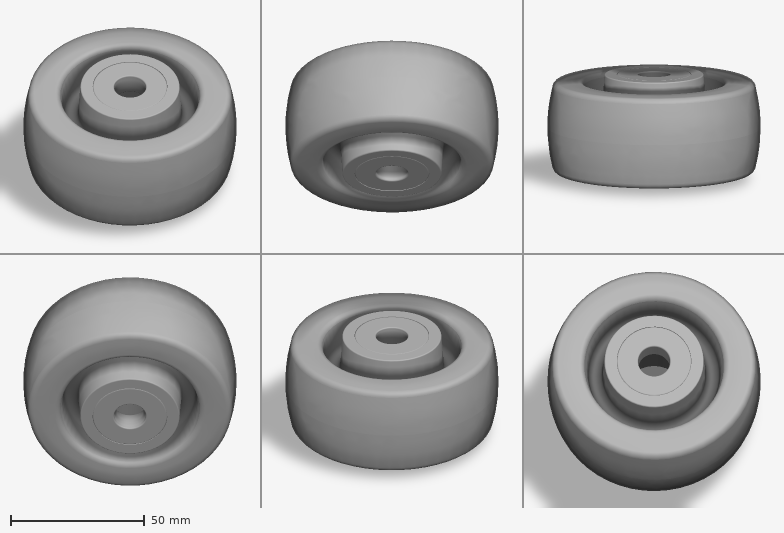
import cadquery as cq
import math

WHEEL_RADIUS = 40.0
HUB_HALF_LENGTH = 20.0

CROWN_RADIUS = 64.0
SHOULDER_RADIUS = 2.5
RIM_EDGE_HEIGHT = 17.2
RIM_BULGE = 0.2

LIP_OUTER_RADIUS = 28.5
LIP_ROUND_RADIUS = 2.5
LIP_SWEEP = math.radians(69)
UPPER_RIM_TAPER = math.radians(11)
LOWER_RIM_TAPER = math.radians(9.5)
RIM_TAPER_CHANGE_HEIGHT = 10.0

HUB_END_RADIUS = 18.6
HUB_WALL_TAPER = math.radians(3.9)
HUB_EDGE_ROUND = 0.5
FLOOR_ROUND_RADIUS = 2.6

BEARING_OUTER_RADIUS = 14.0
BEARING_BORE_RADIUS = 6.0
BEARING_WIDTH = 8.0
BEARING_EDGE_ROUND = 0.5
BEARING_SHOULDER_RADIUS = 11.2

QUARTER_TURN = math.pi / 2


def on_circle(center, radius, angle):
    """Point on a circle in the (distance from axis, height) half plane."""
    return (center[0] + radius * math.cos(angle), center[1] + radius * math.sin(angle))


def arc_to(outline, center, radius, start_angle, end_angle):
    """Extend the outline by an arc that begins where the outline has ended."""
    middle = on_circle(center, radius, (start_angle + end_angle) / 2)
    return outline.threePointArc(middle, on_circle(center, radius, end_angle))


def floor_round_center(rim_point, hub_point):
    """Center of the floor round, tangent to the lower rim wall and hub wall through the given points."""
    rim_rate = math.tan(LOWER_RIM_TAPER)
    hub_rate = math.tan(HUB_WALL_TAPER)
    rim_base = rim_point[0] - rim_point[1] * rim_rate - FLOOR_ROUND_RADIUS / math.cos(LOWER_RIM_TAPER)
    hub_base = hub_point[0] + hub_point[1] * hub_rate + FLOOR_ROUND_RADIUS / math.cos(HUB_WALL_TAPER)
    height = (hub_base - rim_base) / (rim_rate + hub_rate)
    return (rim_base + rim_rate * height, height)


def make_wheel():
    crown_center = (WHEEL_RADIUS - CROWN_RADIUS, 0)
    shoulder_height = RIM_EDGE_HEIGHT - SHOULDER_RADIUS
    crown_end = math.asin(shoulder_height / (CROWN_RADIUS - SHOULDER_RADIUS))
    shoulder_center = on_circle(crown_center, CROWN_RADIUS - SHOULDER_RADIUS, crown_end)

    lip_center = (LIP_OUTER_RADIUS, RIM_EDGE_HEIGHT - LIP_ROUND_RADIUS)
    lip_end = QUARTER_TURN + LIP_SWEEP
    rim_wall_top = on_circle(lip_center, LIP_ROUND_RADIUS, lip_end)
    upper_wall_depth = rim_wall_top[1] - RIM_TAPER_CHANGE_HEIGHT
    taper_change = (
        rim_wall_top[0] - upper_wall_depth * math.tan(UPPER_RIM_TAPER),
        RIM_TAPER_CHANGE_HEIGHT,
    )

    hub_edge_center = (HUB_END_RADIUS - HUB_EDGE_ROUND, HUB_HALF_LENGTH - HUB_EDGE_ROUND)
    hub_wall_top = on_circle(hub_edge_center, HUB_EDGE_ROUND, HUB_WALL_TAPER)

    floor_center = floor_round_center(taper_change, hub_wall_top)
    rim_face_middle = (
        (shoulder_center[0] + LIP_OUTER_RADIUS) / 2,
        RIM_EDGE_HEIGHT + RIM_BULGE,
    )
    seat_height = HUB_HALF_LENGTH - BEARING_WIDTH

    outline = cq.Workplane("XZ").moveTo(BEARING_SHOULDER_RADIUS, 0).lineTo(WHEEL_RADIUS, 0)
    outline = arc_to(outline, crown_center, CROWN_RADIUS, 0, crown_end)
    outline = arc_to(outline, shoulder_center, SHOULDER_RADIUS, crown_end, QUARTER_TURN)
    outline = outline.threePointArc(rim_face_middle, (LIP_OUTER_RADIUS, RIM_EDGE_HEIGHT))
    outline = arc_to(outline, lip_center, LIP_ROUND_RADIUS, QUARTER_TURN, lip_end)
    outline = outline.lineTo(*taper_change)
    outline = outline.lineTo(*on_circle(floor_center, FLOOR_ROUND_RADIUS, -LOWER_RIM_TAPER))
    outline = arc_to(outline, floor_center, FLOOR_ROUND_RADIUS, -LOWER_RIM_TAPER, HUB_WALL_TAPER - math.pi)
    outline = outline.lineTo(*hub_wall_top)
    outline = arc_to(outline, hub_edge_center, HUB_EDGE_ROUND, HUB_WALL_TAPER, QUARTER_TURN)
    outline = (
        outline.lineTo(BEARING_OUTER_RADIUS, HUB_HALF_LENGTH)
        .lineTo(BEARING_OUTER_RADIUS, seat_height)
        .lineTo(BEARING_SHOULDER_RADIUS, seat_height)
        .close()
    )
    upper_half = outline.revolve(360, (0, 0, 0), (0, 1, 0))
    return upper_half.union(upper_half.mirror("XY"))


def make_bearing(bottom_height):
    return (
        cq.Workplane("XY", origin=(0, 0, bottom_height))
        .circle(BEARING_OUTER_RADIUS)
        .circle(BEARING_BORE_RADIUS)
        .extrude(BEARING_WIDTH)
        .edges("%CIRCLE")
        .fillet(BEARING_EDGE_ROUND)
    )


wheel = make_wheel()

bearing_bottoms = (HUB_HALF_LENGTH - BEARING_WIDTH, -HUB_HALF_LENGTH)
bearings = [make_bearing(bottom).solids().val() for bottom in bearing_bottoms]

result = cq.Compound.makeCompound([wheel.solids().val(), *bearings])